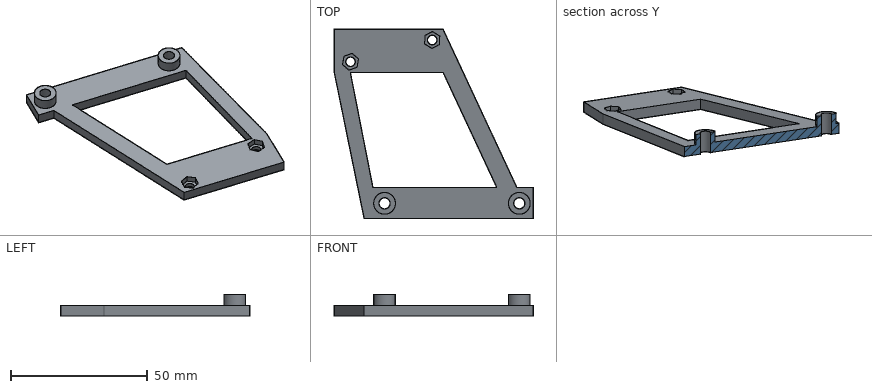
import cadquery as cq

plate_thickness = 4.0
plate_width = 73.14
plate_length = 69.6
top_edge_width = 40.0
top_bar_width = 16.0
bottom_bar_width = 11.5
bottom_left_x = 10.97
shoulder_x = 67.1
top_bar_y = plate_length - top_bar_width

window_top_left_x = 6.0
window_top_right_x = top_edge_width
window_bottom_left_x = 14.25
window_bottom_right_x = 59.65

standoff_diameter = 8.0
standoff_height = 4.0
total_height = plate_thickness + standoff_height
standoff_bore = 4.0
standoff_y = 5.6
standoff_left_x = 18.5
standoff_spacing = 49.5
standoff_points = [
    (standoff_left_x, standoff_y),
    (standoff_left_x + standoff_spacing, standoff_y),
]

screw_diameter = 3.4
nut_sides = 6
nut_corner_diameter = 6.25
nut_pocket_depth = 2.3
left_nut_x = 6.0
nut_bar_margin = 4.0
left_nut_y = top_bar_y + nut_bar_margin
nut_spacing_x = 30.0
nut_spacing_y = 8.0
left_nut_turn = 20.0
right_nut_turn = 27.0
nut_places = [
    ((left_nut_x, left_nut_y), left_nut_turn),
    ((left_nut_x + nut_spacing_x, left_nut_y + nut_spacing_y), right_nut_turn),
]


def make_plate():
    outline = [
        (bottom_left_x, 0),
        (plate_width, 0),
        (plate_width, bottom_bar_width),
        (shoulder_x, bottom_bar_width),
        (top_edge_width, plate_length),
        (0, plate_length),
        (0, top_bar_y),
    ]
    return cq.Workplane("XY").polyline(outline).close().extrude(plate_thickness)


def make_window():
    outline = [
        (window_bottom_left_x, bottom_bar_width),
        (window_bottom_right_x, bottom_bar_width),
        (window_top_right_x, top_bar_y),
        (window_top_left_x, top_bar_y),
    ]
    return cq.Workplane("XY").polyline(outline).close().extrude(plate_thickness)


def make_cylinders(points, diameter, height):
    return cq.Workplane("XY").pushPoints(points).circle(diameter / 2).extrude(height)


def make_nut_pocket(centre, turn):
    pocket = cq.Workplane("XY").polygon(nut_sides, nut_corner_diameter).extrude(nut_pocket_depth)
    pocket = pocket.rotate((0, 0, 0), (0, 0, 1), turn)
    return pocket.translate((centre[0], centre[1], plate_thickness - nut_pocket_depth))


result = make_plate().cut(make_window())

result = result.union(make_cylinders(standoff_points, standoff_diameter, total_height))
result = result.cut(make_cylinders(standoff_points, standoff_bore, total_height))

for nut_centre, nut_turn in nut_places:
    result = result.cut(make_cylinders([nut_centre], screw_diameter, plate_thickness))
    result = result.cut(make_nut_pocket(nut_centre, nut_turn))